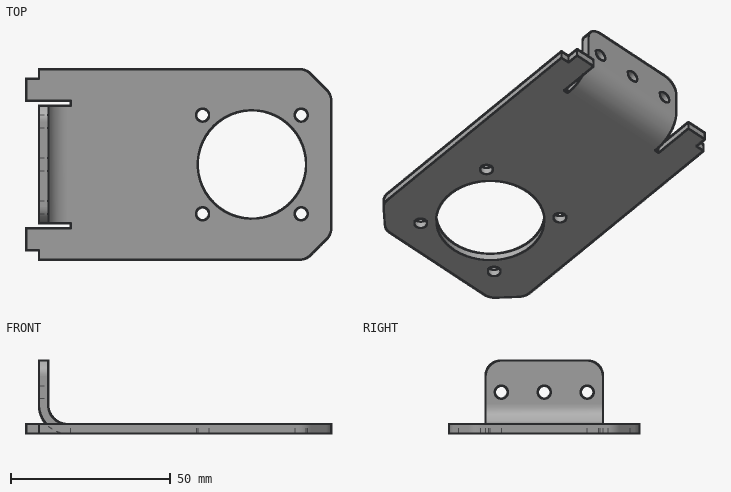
import cadquery as cq

thickness = 3.0
plate_length = 96.0
plate_width = 60.0
corner_chamfer = 8.0
corner_radius = 5.0

tab_length = 4.0
tab_edge_inset = 3.0

flange_width = 37.0
flange_height = 23.0
flange_corner_radius = 5.0
bend_inner_radius = 6.0
relief_gap = 1.5
relief_overrun = 1.0

bore_diameter = 34.0
bore_x = 71.0
mount_hole_spacing = 31.0
mount_hole_diameter = 4.0

flange_hole_diameter = 4.0
flange_hole_spacing = 13.5
flange_hole_height = 13.0

flange_x = tab_length
bend_outer_radius = bend_inner_radius + thickness
bend_end_x = flange_x + bend_outer_radius
notch_end_x = bend_end_x + relief_overrun
notch_width = flange_width + 2 * relief_gap


def make_plate():
    """Flat plate with tabs, a front notch and eased rear corners."""
    half_width = plate_width / 2
    half_notch = notch_width / 2
    tab_side = half_width - tab_edge_inset
    chamfer_x = plate_length - corner_chamfer
    chamfer_y = half_width - corner_chamfer
    upper_half = [
        (notch_end_x, half_notch),
        (0, half_notch),
        (0, tab_side),
        (tab_length, tab_side),
        (tab_length, half_width),
        (chamfer_x, half_width),
        (plate_length, chamfer_y),
    ]
    lower_half = [(x, -y) for x, y in reversed(upper_half)]
    plate = cq.Workplane("XY").polyline(upper_half + lower_half).close().extrude(thickness)
    chamfer_ends = plate.edges("|Z").edges(">>X[-1] or >>X[-2]")
    return chamfer_ends.fillet(corner_radius)


def make_flange():
    """Upright flange, its bend and the short strip joining it to the plate."""
    flange = (
        cq.Workplane("XZ")
        .moveTo(notch_end_x, 0)
        .lineTo(bend_end_x, 0)
        .radiusArc((flange_x, bend_outer_radius), bend_outer_radius)
        .lineTo(flange_x, flange_height)
        .lineTo(flange_x + thickness, flange_height)
        .lineTo(flange_x + thickness, bend_outer_radius)
        .radiusArc((bend_end_x, thickness), -bend_inner_radius)
        .lineTo(notch_end_x, thickness)
        .close()
        .extrude(flange_width / 2, both=True)
    )
    top_corners = flange.faces(">Z").edges("|X")
    return top_corners.fillet(flange_corner_radius)


def make_mount_holes():
    """Cutters for the motor bore and the four screw holes around it."""
    centre = cq.Workplane("XY").center(bore_x, 0)
    bore = centre.circle(bore_diameter / 2).extrude(thickness)
    screws = (
        centre.rect(mount_hole_spacing, mount_hole_spacing, forConstruction=True)
        .vertices()
        .circle(mount_hole_diameter / 2)
        .extrude(thickness)
    )
    return bore.union(screws)


def make_flange_holes():
    """Cutters for the row of three holes through the flange."""
    row = [(step * flange_hole_spacing, flange_hole_height) for step in (-1, 0, 1)]
    return (
        cq.Workplane("YZ", origin=(flange_x, 0, 0))
        .pushPoints(row)
        .circle(flange_hole_diameter / 2)
        .extrude(thickness)
    )


result = make_plate().union(make_flange()).cut(make_mount_holes()).cut(make_flange_holes())